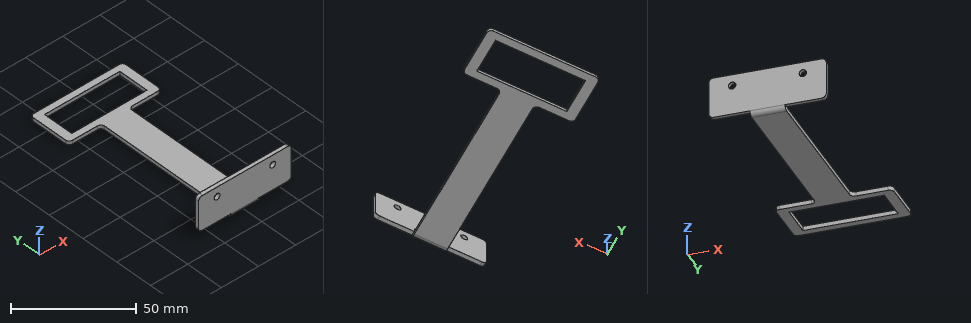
import cadquery as cq

length = 100.0
width = 50.0
height = 20.0
thickness = 2.0
corner_radius = 2.0
bend_radius = 2.0
arm_width = 15.0
head_depth = 23.0
window_width = 40.4
window_depth = 16.0
hole_diameter = 3.0
hole_spacing = 30.0
hole_inset = 5.0

front_y = -length / 2
back_y = length / 2
head_front_y = back_y - head_depth
head_center_y = back_y - head_depth / 2


def make_head():
    """Flat rectangular frame blank with rounded corners."""
    head = cq.Workplane("XY").box(width, head_depth, thickness, centered=(True, True, False))
    return head.edges("|Z").fillet(corner_radius).translate((0, head_center_y, 0))


def make_arm():
    """Arm from the frame to the mounting plate, ending in a rounded bend."""
    inner_y = front_y + thickness
    profile = (
        cq.Workplane("YZ")
        .moveTo(head_center_y, 0)
        .lineTo(front_y + bend_radius, 0)
        .radiusArc((front_y, bend_radius), bend_radius)
        .lineTo(front_y, thickness + bend_radius)
        .lineTo(inner_y, thickness + bend_radius)
        .radiusArc((inner_y + bend_radius, thickness), -bend_radius)
        .lineTo(head_center_y, thickness)
        .close()
    )
    return profile.extrude(arm_width / 2, both=True)


def make_mounting_plate():
    """Upright plate with rounded corners, standing above the sheet level."""
    plate_height = height - thickness
    plate = cq.Workplane("XY").box(width, thickness, plate_height, centered=(True, False, False))
    return plate.edges("|Y").fillet(corner_radius).translate((0, front_y, thickness))


def make_screw_holes():
    """Cutters for the two through holes in the mounting plate."""
    return (
        cq.Workplane("XZ", origin=(0, front_y, height - hole_inset))
        .rarray(hole_spacing, 1, 2, 1)
        .circle(hole_diameter / 2)
        .extrude(-thickness)
    )


def make_window():
    """Cutter for the sharp-cornered opening centred in the frame."""
    window = cq.Workplane("XY").box(window_width, window_depth, thickness, centered=(True, True, False))
    return window.translate((0, head_center_y, 0))


body = make_head().union(make_arm())
for side in (-1, 1):
    neck_corner = (side * arm_width / 2, head_front_y, thickness / 2)
    body = body.edges(cq.selectors.NearestToPointSelector(neck_corner)).fillet(corner_radius)

result = body.union(make_mounting_plate()).cut(make_screw_holes()).cut(make_window())